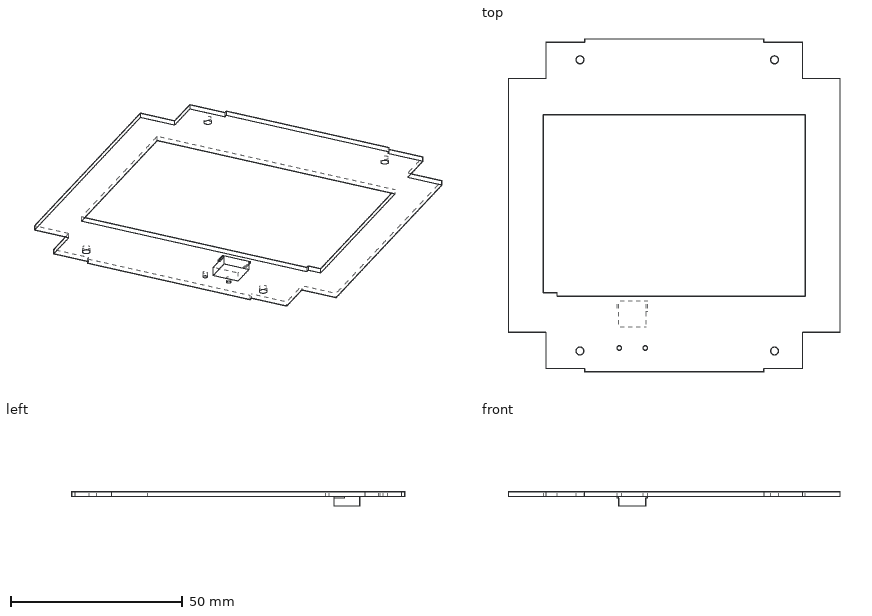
import cadquery as cq

plate_thickness = 1.5
wing_span_x = 96.9
wing_width_y = 74.2
body_width_x = 74.9
body_length_y = 95.4
tab_width_x = 52.4
tab_span_y = 97.3

window_x = 76.4
window_y = 52.9
step_x = 4.0
step_y = 1.0

mount_hole_diameter = 2.2
mount_pitch_x = 56.8
mount_center_x = 0.9
mount_pitch_y = 85.1

connector_center_x = -12.3
connector_width_x = 8.0
connector_length_y = 7.6
connector_height = 2.7
connector_back_y = -27.9
ear_overhang = 0.5
ear_length_y = 3.1
ear_thickness = 0.4
peg_hole_diameter = 1.3
peg_hole_pitch = 7.6
peg_hole_y = -41.7


def flat_block(size_x, size_y):
    """Rectangular block of plate thickness, centred on the Z axis."""
    return cq.Workplane("XY").box(size_x, size_y, plate_thickness, centered=(True, True, False))


def make_plate():
    """Cross-shaped plate with end tabs, a stepped window and through holes."""
    outline = (
        flat_block(wing_span_x, wing_width_y)
        .union(flat_block(body_width_x, body_length_y))
        .union(flat_block(tab_width_x, tab_span_y))
    )
    corner_step = flat_block(step_x, step_y).translate(
        ((step_x - window_x) / 2, (step_y - window_y) / 2, 0)
    )
    window = flat_block(window_x, window_y).cut(corner_step)
    mount_holes = (
        cq.Workplane("XY")
        .center(mount_center_x, 0)
        .rect(mount_pitch_x, mount_pitch_y, forConstruction=True)
        .vertices()
        .circle(mount_hole_diameter / 2)
        .extrude(plate_thickness)
    )
    peg_holes = (
        cq.Workplane("XY")
        .center(connector_center_x, peg_hole_y)
        .pushPoints([(-peg_hole_pitch / 2, 0), (peg_hole_pitch / 2, 0)])
        .circle(peg_hole_diameter / 2)
        .extrude(plate_thickness)
    )
    return outline.cut(window).cut(mount_holes).cut(peg_holes)


def hanging_block(size_x, size_y, height):
    """Connector block hanging from the plate, its +Y face at the connector back."""
    return (
        cq.Workplane("XY")
        .center(connector_center_x, connector_back_y - size_y / 2)
        .rect(size_x, size_y)
        .extrude(-height)
    )


def make_connector():
    """Connector housing with a thin ear on each side against the plate."""
    housing = hanging_block(connector_width_x, connector_length_y, connector_height)
    ears = hanging_block(connector_width_x + 2 * ear_overhang, ear_length_y, ear_thickness)
    return housing.union(ears)


plate = make_plate()
connector = make_connector()

result = cq.Compound.makeCompound([plate.val(), connector.val()])